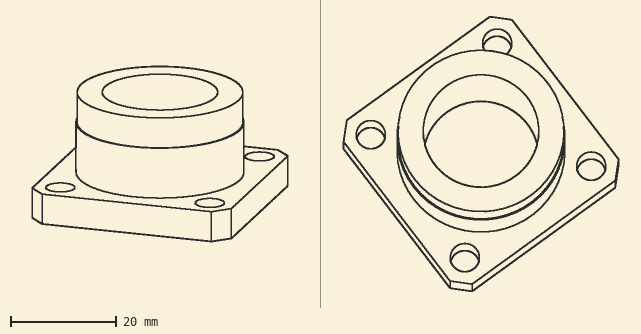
import cadquery as cq

flange_side = 40
flange_thickness = 6
corner_chamfer = 3.0

hub_diameter = 32
hub_height = 10
spigot_diameter = 31.6
spigot_height = 6
bore_diameter = 22

mount_hole_diameter = 5.5
mount_hole_spacing = 30

total_height = flange_thickness + hub_height + spigot_height


def make_flange():
    """Square plate with chamfered corners, resting on Z = 0."""
    plate = cq.Workplane("XY").box(flange_side, flange_side, flange_thickness, centered=(True, True, False))
    return plate.edges("|Z").chamfer(corner_chamfer)


def make_cylinder(diameter, height, base_z=0):
    """Upright cylinder on the part axis."""
    return cq.Workplane("XY").workplane(offset=base_z).circle(diameter / 2).extrude(height)


def make_mount_holes():
    """Four through-hole cutters at the corners of a square."""
    return (
        cq.Workplane("XY")
        .rect(mount_hole_spacing, mount_hole_spacing, forConstruction=True)
        .vertices()
        .circle(mount_hole_diameter / 2)
        .extrude(flange_thickness)
    )


hub = make_cylinder(hub_diameter, hub_height, flange_thickness)
spigot = make_cylinder(spigot_diameter, spigot_height, flange_thickness + hub_height)
bore = make_cylinder(bore_diameter, total_height)

result = make_flange().union(hub).union(spigot).cut(bore).cut(make_mount_holes())